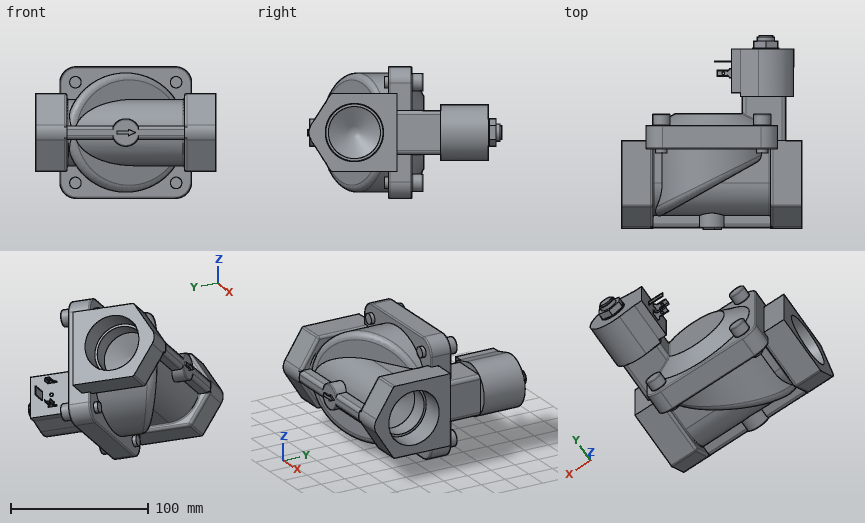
import cadquery as cq
import math


overall_length = 131.0
overall_depth = 141.4

selector_margin = 0.1

end_x = overall_length / 2
end_inner_x = 42.5
end_half_width = 28.4
end_back_y = 30.8
corner_y = -17.0
nose_y = -33.2
nose_radius = 10.0
corner_round = 1.8
inner_edge_round = 2.1
nose_bridge_width = 8.2

mouth_radius = 21.2
thread_end_radius = 20.8
thread_depth = 17.7
pilot_radius = 19.0
pilot_depth = 31.1
cone_depth = 11.3

tube_radius = 24.2
tube_end_fillet = 0.8
bowl_radius = 43.4
bowl_floor_y = -3.4
bowl_floor_slope = 29.3
bowl_round = 5.1
rib_face_y = -32.8
rib_width = 9.9
rib_round = 2.8

boss_radius = 10.0
boss_round = 0.7
arrow_base_y = -34.0
arrow_tail_x = -6.4
arrow_neck_x = 1.8
arrow_tip_x = 7.2
arrow_shaft_half = 1.1
arrow_head_half = 2.4

flange_width = 96.0
flange_corner = 12.0
flange_front_y = 24.7
flange_back_y = 41.8
flange_round = 1.0
dome_base_radius = 42.5
dome_top_radius = 26.5
dome_top_y = 50.5

bolt_offset = 36.6
bolt_diameter = 8.3
bolt_tip_y = 21.8
bolt_head_radius = 6.4
bolt_head_y = 50.0
bolt_head_round = 0.7

column_x = 38.0
column_half = 16.0
column_round = 3.0
column_foot_fillet = 0.7

coil_x = 39.3
coil_radius = 20.4
coil_face_x = 20.8
coil_front_y = 62.8
coil_back_y = 97.4
plate_face_x = 14.3
plate_half = 16.0
plate_front_y = 65.5

washer_radius = 9.8
washer_back_y = 98.3
nut_flats = 17.5
nut_corner_radius = nut_flats / math.sqrt(3)
nut_back_y = 103.0
stud_radius = 6.4
stud_back_y = 106.0
stud_tip_radius = 5.1
stud_tip_y = arrow_base_y + overall_depth

pin_tip_x = 1.8
pin_y = 88.2
pin_width = 6.8
pin_thickness = 0.64
blade_y = 79.7
blade_outer_z = 9.6
blade_thickness = 0.7
blade_root_width = 6.6
blade_root_x = 13.0
blade_neck_x = 11.6
blade_flat_width = 3.1
blade_wing_x = 11.3
blade_tip_x = 4.0
blade_wing_width = 4.8
blade_wing_drop = 1.5
blade_hole_x = 8.3
blade_hole_diameter = 1.7
screw_y = 80.9
screw_radius = 1.3
screw_depth = 0.7


def section_at(y, x=0, z=0):
    """Workplane across the Y axis, with local axes X and Z."""
    return cq.Workplane("XZ", origin=(x, y, z))


def rod(radius, y_start, y_end, x=0, z=0):
    """Cylinder along Y."""
    return section_at(y_start, x, z).circle(radius).extrude(y_start - y_end)


def tangent_point(px, py, cx, cy, radius, side):
    """Point where a line from (px, py) touches a circle; side picks one of the two."""
    distance = math.hypot(px - cx, py - cy)
    angle = math.atan2(py - cy, px - cx) + side * math.acos(radius / distance)
    return cx + radius * math.cos(angle), cy + radius * math.sin(angle)


def pipe_end():
    """Five-sided wrench block at the +X end; its inner rim is rounded except at the rib."""
    nose_centre_y = nose_y + nose_radius
    touch_y, touch_z = tangent_point(corner_y, end_half_width, nose_centre_y, 0, nose_radius, 1)
    block = (
        cq.Workplane("YZ", origin=(end_inner_x, 0, 0))
        .moveTo(end_back_y, end_half_width)
        .lineTo(corner_y, end_half_width)
        .lineTo(touch_y, touch_z)
        .threePointArc((nose_y, 0), (touch_y, -touch_z))
        .lineTo(corner_y, -end_half_width)
        .lineTo(end_back_y, -end_half_width)
        .close()
        .extrude(end_x - end_inner_x)
    )
    for side in (1, -1):
        corner = cq.selectors.NearestToPointSelector(
            ((end_inner_x + end_x) / 2, corner_y, side * end_half_width)
        )
        block = block.edges(corner).fillet(corner_round)
    rounded_edges = cq.selectors.BoxSelector(
        (end_inner_x - selector_margin, nose_y - selector_margin, -end_half_width - selector_margin),
        (end_inner_x + selector_margin, end_back_y - selector_margin, end_half_width + selector_margin),
    )
    rounded_block = block.faces("<X").edges(rounded_edges).fillet(inner_edge_round)
    bridge_zone = cq.Workplane("XY").box(2 * end_x, -2 * nose_y, nose_bridge_width)
    return rounded_block.union(block.intersect(bridge_zone))


def port():
    """Tapered thread, stepped pilot bore and drill cone at the +X end."""
    thread_end_x = end_x - thread_depth
    pilot_end_x = end_x - pilot_depth
    profile = [
        (end_x, 0),
        (end_x, mouth_radius),
        (thread_end_x, thread_end_radius),
        (thread_end_x, pilot_radius),
        (pilot_end_x, pilot_radius),
        (pilot_end_x - cone_depth, 0),
    ]
    return cq.Workplane("XY").polyline(profile).close().revolve(360, (0, 0, 0), (1, 0, 0))


def both_ends(shape):
    """The shape together with its mirror image at the -X end."""
    return shape.union(shape.mirror("YZ"))


def tube():
    """U-shaped duct between the pipe ends, open towards the flange."""
    return (
        cq.Workplane("YZ", origin=(-end_inner_x, 0, 0))
        .moveTo(end_back_y, tube_radius)
        .lineTo(0, tube_radius)
        .threePointArc((-tube_radius, 0), (0, -tube_radius))
        .lineTo(end_back_y, -tube_radius)
        .close()
        .extrude(2 * end_inner_x)
    )


def duct():
    """Tube and both pipe ends, with small fillets where the tube meets the ends."""
    joined = both_ends(pipe_end()).union(tube())
    reach = tube_radius + selector_margin
    tube_region = cq.selectors.BoxSelector(
        (-end_inner_x - selector_margin, -reach, -reach),
        (end_inner_x + selector_margin, end_back_y - selector_margin, reach),
    )
    return joined.edges(tube_region).edges("|Y or %CIRCLE").fillet(tube_end_fillet)


def bowl():
    """Round chamber under the flange, cut off by a sloping floor with a rounded rim."""
    chamber = rod(bowl_radius, -bowl_radius, flange_back_y)
    below = (
        cq.Workplane("XY")
        .box(6 * bowl_radius, 2 * bowl_radius, 4 * bowl_radius, centered=(True, False, True))
        .translate((0, -2 * bowl_radius, 0))
        .rotate((0, 0, 0), (0, 0, 1), bowl_floor_slope)
        .translate((0, bowl_floor_y, 0))
    )
    floor = cq.selectors.NearestToPointSelector((0, bowl_floor_y, 0))
    return chamber.cut(below).faces(floor).edges().fillet(bowl_round)


def rib():
    """Straight rib along the -Y side of the tube, with two rounded long edges."""
    return (
        cq.Workplane("XY")
        .box(2 * end_inner_x, -rib_face_y, rib_width)
        .translate((0, rib_face_y / 2, 0))
        .edges("|X and <Y")
        .fillet(rib_round)
    )


def arrow_boss():
    """Round boss on the rib with a raised flow arrow pointing to +X."""
    boss = rod(boss_radius, rib_face_y, 0).faces("<Y").edges().fillet(boss_round)
    half_arrow = [
        (arrow_tail_x, arrow_shaft_half),
        (arrow_neck_x, arrow_shaft_half),
        (arrow_neck_x, arrow_head_half),
    ]
    outline = half_arrow + [(arrow_tip_x, 0)] + [(x, -z) for x, z in reversed(half_arrow)]
    arrow = section_at(arrow_base_y).polyline(outline).close().extrude(arrow_base_y)
    return boss.union(arrow)


def flange():
    """Square flange with rounded corners and softened rims."""
    return (
        section_at(flange_front_y)
        .rect(flange_width, flange_width)
        .extrude(flange_front_y - flange_back_y)
        .edges("|Y")
        .fillet(flange_corner)
        .faces("<Y or >Y")
        .edges()
        .fillet(flange_round)
    )


def dome():
    """Truncated cone on the back of the flange."""
    profile = [
        (0, flange_front_y),
        (dome_base_radius, flange_front_y),
        (dome_base_radius, flange_back_y),
        (dome_top_radius, dome_top_y),
        (0, dome_top_y),
    ]
    return cq.Workplane("XY").polyline(profile).close().revolve(360, (0, 0, 0), (0, 1, 0))


def bolt(x, z):
    """Flange bolt along Y with a round head."""
    shank = rod(bolt_diameter / 2, bolt_tip_y, bolt_head_y, x, z)
    head = rod(bolt_head_radius, flange_back_y, bolt_head_y, x, z)
    return shank.union(head.edges("%CIRCLE").fillet(bolt_head_round))


def column():
    """Square pillar that carries the coil."""
    return (
        section_at(end_back_y, column_x)
        .rect(2 * column_half, 2 * column_half)
        .extrude(end_back_y - coil_front_y)
        .edges("|Y")
        .fillet(column_round)
    )


def cover():
    """Domed cover and pilot column, with a small fillet where the column leaves the dome."""
    joined = dome().union(column())
    reach = column_half + selector_margin
    foot_edges = cq.selectors.BoxSelector(
        (column_x - reach, flange_back_y + selector_margin, -reach),
        (column_x, dome_top_y + selector_margin, reach),
    )
    return joined.edges(foot_edges).fillet(column_foot_fillet)


def coil():
    """Coil housing, rounded towards +X, with a connector plate on its flat -X face."""
    touch_x, touch_z = tangent_point(coil_face_x, plate_half, coil_x, 0, coil_radius, -1)
    housing = (
        section_at(coil_front_y)
        .moveTo(coil_face_x, plate_half)
        .lineTo(touch_x, touch_z)
        .threePointArc((coil_x + coil_radius, 0), (touch_x, -touch_z))
        .lineTo(coil_face_x, -plate_half)
        .close()
        .extrude(coil_front_y - coil_back_y)
    )
    plate = cq.Workplane("XY").box(
        coil_x - plate_face_x, coil_back_y - plate_front_y, 2 * plate_half, centered=(False, False, True)
    )
    return housing.union(plate.translate((plate_face_x, plate_front_y, 0)))


def nut_stack():
    """Washer, hexagon nut and stepped stud end behind the coil."""
    corners = [
        (nut_corner_radius * math.sin(i * math.pi / 3), nut_corner_radius * math.cos(i * math.pi / 3))
        for i in range(6)
    ]
    nut = section_at(washer_back_y, coil_x).polyline(corners).close().extrude(washer_back_y - nut_back_y)
    return (
        rod(washer_radius, coil_back_y, washer_back_y, coil_x)
        .union(nut)
        .union(rod(stud_radius, nut_back_y, stud_back_y, coil_x))
        .union(rod(stud_tip_radius, stud_back_y, stud_tip_y, coil_x))
    )


def ground_pin():
    """Flat earth terminal standing across the connector plate."""
    length = plate_face_x - pin_tip_x
    pin = cq.Workplane("XY").box(length, pin_thickness, pin_width, centered=(False, True, True))
    return pin.translate((pin_tip_x, pin_y, 0))


def blade():
    """Upper terminal: a necked strip whose free end has two wings bent towards the middle."""
    half_strip = [
        (blade_tip_x, blade_flat_width / 2),
        (blade_neck_x, blade_flat_width / 2),
        (blade_root_x, blade_root_width / 2),
        (plate_face_x, blade_root_width / 2),
    ]
    outline = half_strip + [(x, -y) for x, y in reversed(half_strip)]
    inner_z = blade_outer_z - blade_thickness
    strip = (
        cq.Workplane("XY", origin=(0, blade_y, inner_z)).polyline(outline).close().extrude(blade_thickness)
    )
    half_channel = [
        (blade_flat_width / 2, blade_outer_z),
        (blade_wing_width / 2, blade_outer_z - blade_wing_drop),
        (blade_wing_width / 2, inner_z - blade_wing_drop),
        (blade_flat_width / 2, inner_z),
    ]
    channel = (
        cq.Workplane("YZ", origin=(blade_tip_x, blade_y, 0))
        .polyline(half_channel + [(-y, z) for y, z in reversed(half_channel)])
        .close()
        .extrude(blade_wing_x - blade_tip_x)
    )
    hole = (
        cq.Workplane("XY", origin=(blade_hole_x, blade_y, 0))
        .circle(blade_hole_diameter / 2)
        .extrude(blade_outer_z)
    )
    return strip.union(channel).cut(hole)


def screw_hole():
    """Shallow round recess in the connector plate between the terminals."""
    return cq.Workplane("YZ", origin=(plate_face_x, screw_y, 0)).circle(screw_radius).extrude(screw_depth)


result = (
    duct()
    .union(bowl())
    .union(rib())
    .union(arrow_boss())
    .union(flange())
    .union(cover())
    .union(coil())
    .union(nut_stack())
    .union(ground_pin())
    .union(blade())
    .union(blade().mirror("XY"))
)
for bolt_x in (bolt_offset, -bolt_offset):
    for bolt_z in (bolt_offset, -bolt_offset):
        result = result.union(bolt(bolt_x, bolt_z))
result = result.cut(both_ends(port())).cut(screw_hole())